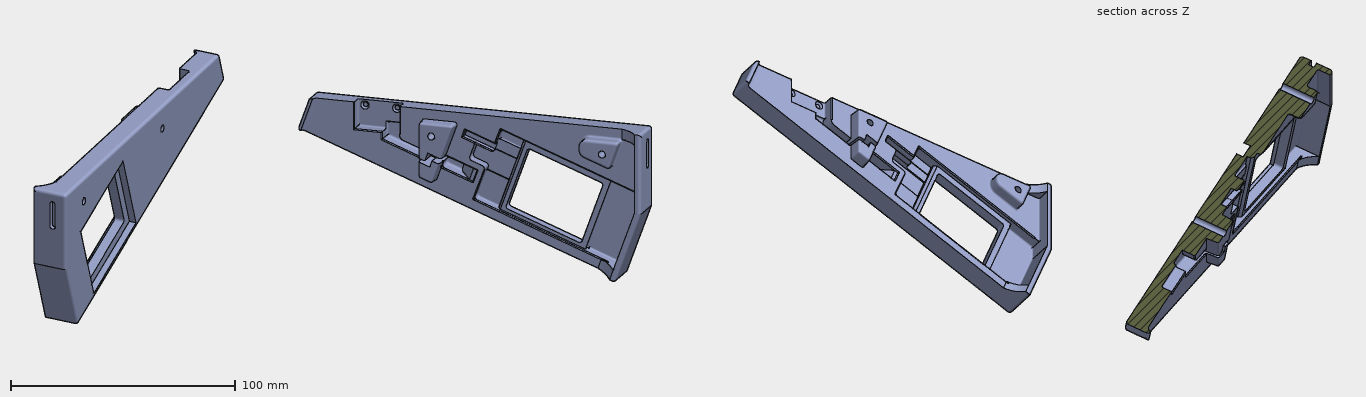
import cadquery as cq
import math

length = 163.0
total_height = 69.5
taper = math.radians(20)
edge_round = 1.5
floor_round = 0.8
rim = 0.5
boss_round = 1.3

plate_top = 10.1
flange_top = 16.5
lip_top = 12.0
boss_top = 16.0
ledge_floor = 8.0
upper_floor = 5.5
deep_floor = 4.9
cable_floor = 3.6
recess_depth = 3.3

front_height = 37.0
flange_width = 2.85
lip_width = 1.6
corner_loss = edge_round * (math.sin(taper) + math.cos(taper) - 1)
sharp_length = length + corner_loss
sharp_height = total_height + corner_loss
low_corner_y = (sharp_height - front_height) * math.tan(taper)
tip_height = sharp_height - (sharp_length - low_corner_y) * math.tan(taper)
tip_top_y = sharp_length - tip_height * math.tan(taper)
lower_edge = (sharp_length - low_corner_y) / math.cos(taper)

level = cq.Plane(origin=(0, 0, 0), xDir=(0, -1, 0), normal=(-1, 0, 0))
tilted = cq.Plane(
    origin=(0, sharp_length, -tip_height),
    xDir=(0, -math.cos(taper), -math.sin(taper)),
    normal=(-1, 0, 0),
)


def prism(frame, points, bottom, top):
    """Straight prism over a polygon, between two heights."""
    return cq.Workplane(frame).workplane(offset=bottom).polyline(points).close().extrude(top - bottom)


def block(frame, x_range, y_range, bottom, top):
    """Prism over a rectangle of the frame."""
    (x0, x1), (y0, y1) = x_range, y_range
    return prism(frame, [(x0, y0), (x1, y0), (x1, y1), (x0, y1)], bottom, top)


def round_corners(solid, radius, corners):
    """Fillet the upright edges that stand on the given level-frame corners."""

    def is_listed(edge):
        center = edge.Center()
        return any(math.hypot(center.y + x, center.z - z) < 0.02 for x, z in corners)

    return solid.newObject([edge for edge in solid.edges("|X").vals() if is_listed(edge)]).fillet(radius)


def rim_chamfer(frame, points):
    """Cutter that breaks the edge where a recess with the given outline opens at the plate surface."""
    sketch = cq.Workplane(frame).workplane(offset=plate_top).polyline(points).close()
    return sketch.offset2D(rim).extrude(-rim, taper=45)


def level_point(along, across):
    """Level-frame coordinates of a point given in the tilted frame."""
    return (
        -sharp_length + along * math.cos(taper) + across * math.sin(taper),
        -tip_height - along * math.sin(taper) + across * math.cos(taper),
    )


def on_row(x, across):
    """Level-frame point at x on the line parallel to the lower edge, `across` above it."""
    return (x, -tip_height - (x + sharp_length) * math.tan(taper) + across / math.cos(taper))


def on_column(along, z):
    """Level-frame point at height z on the line square to the lower edge, `along` from the tip."""
    return level_point(along, (z + tip_height + along * math.sin(taper)) / math.cos(taper))


outline = [
    (0, 0),
    (0, -front_height),
    (-low_corner_y, -sharp_height),
    (-sharp_length, -tip_height),
    (-tip_top_y, 0),
]
flange_inner = -flange_width
inner_kink_y = -front_height + flange_width * math.tan(taper / 2)
slope_run = 1.2 * total_height
inner_side = [
    (flange_inner, total_height),
    (flange_inner, inner_kink_y),
    (flange_inner - slope_run * math.sin(taper), inner_kink_y - slope_run * math.cos(taper)),
]
far_side = [(-1.5 * length, -1.5 * length), (-1.5 * length, total_height)]

body = prism(level, outline, 0, flange_top)
body = body.cut(prism(level, inner_side + far_side, lip_top, flange_top))
body = body.cut(
    prism(level, inner_side + far_side, plate_top, lip_top).intersect(
        block(tilted, (lip_width, 2 * length), (-length, length), plate_top, lip_top)
    )
)


def is_rounded(edge):
    """Rim of the outer face, the outer corners, and the raised rims of the front and the tip."""
    center = edge.Center()
    along = tilted.toLocalCoords(center).x
    on_outer_face = center.x > -0.02
    on_front_rim = center.x < 0.02 - flange_top and (
        center.y < 0.02 or abs(along - lower_edge) < 0.02
    )
    on_tip_rim = along < 0.02
    is_kink = abs(center.y) < 0.02 and abs(center.z + front_height) < 0.02
    is_front_corner = abs(center.x + flange_top / 2) < 0.02 and not is_kink
    return on_outer_face or on_front_rim or on_tip_rim or is_front_corner


body = body.newObject([edge for edge in body.edges().vals() if is_rounded(edge)]).fillet(edge_round)


def is_flange_base(edge):
    """Corner between the plate and the inner wall of the flange."""
    center = edge.Center()
    along = tilted.toLocalCoords(center).x
    on_wall = abs(center.y + flange_inner) < 0.02 or abs(along - lower_edge + flange_width) < 0.02
    return on_wall and abs(center.x + plate_top) < 0.02


body = body.newObject([edge for edge in body.edges().vals() if is_flange_base(edge)]).fillet(floor_round)


def ramp(frame, wall, run, y_range, top, radius):
    """Ramp with a concave arc profile, rising from the plate at wall + run to `top` at the wall."""
    rise = top - plate_top
    solid = block(frame, (wall, wall + run), y_range, plate_top, top)
    chord = math.hypot(run, rise)
    center_distance = math.sqrt(radius**2 - (chord / 2) ** 2)
    center_x = wall + run / 2 + math.copysign(center_distance * rise / chord, run)
    center_height = plate_top + rise / 2 + center_distance * abs(run) / chord
    scoop_plane = cq.Plane(
        origin=frame.toWorldCoords((center_x, y_range[0], center_height)),
        xDir=frame.xDir,
        normal=frame.yDir,
    )
    return solid.cut(cq.Workplane(scoop_plane).circle(radius).extrude(y_range[1] - y_range[0]))


lip_rise = lip_top - plate_top
lip_cove = ramp(tilted, lip_width, lip_rise, (-length, length), lip_top, lip_rise)
body = body.union(lip_cove.intersect(prism(level, outline, plate_top, lip_top)))

flare = 1.0
front_boss_tail = -29.7
front_boss_z = -5.0
front_boss_row = 47.8
front_boss_column = 140.2
tail_corner_round = 3.9
front_corner_round = 1.0
tail_corners = [(front_boss_tail, front_boss_z), on_row(front_boss_tail, front_boss_row)]
front_corners = [
    level_point(front_boss_column, front_boss_row),
    on_column(front_boss_column, front_boss_z),
]
front_boss = prism(level, tail_corners + front_corners, deep_floor, boss_top)
front_boss = round_corners(front_boss, tail_corner_round, tail_corners)
front_boss = round_corners(front_boss, front_corner_round, front_corners)
front_boss = front_boss.faces("<X").edges().fillet(boss_round)
body = body.union(front_boss)


def is_boss_base(edge):
    """Edges where the front boss meets the plate."""
    center = edge.Center()
    inside = 9.8 < center.y < 31 and -19.5 < center.z < -4.9
    return inside and abs(center.x + plate_top) < 0.02


body = body.newObject([edge for edge in body.edges().vals() if is_boss_base(edge)]).fillet(flare)

gusset_run = 8.1
gusset_width = 4.9
gusset_radius = 15.8
slope_inner = lower_edge - flange_width
for frame, wall, y_range in [
    (level, flange_inner, (-gusset_width, 0)),
    (tilted, slope_inner, (0, gusset_width)),
]:
    body = body.union(ramp(frame, wall, -gusset_run, y_range, flange_top, gusset_radius))

boss_draft = 5
rear_boss_tail = -105.3
rear_boss_z = -4.5
rear_boss_row = 4.9
rear_boss_column = 67.1
rear_boss_top_round = 1.0
rear_corners = [
    (rear_boss_tail, rear_boss_z),
    on_row(rear_boss_tail, rear_boss_row),
    level_point(rear_boss_column, rear_boss_row),
    on_column(rear_boss_column, rear_boss_z),
]
rear_boss = (
    cq.Workplane(level)
    .workplane(offset=plate_top)
    .polyline(rear_corners)
    .close()
    .offset2D(-boss_round)
    .offset2D(boss_round)
    .extrude(boss_top - plate_top, taper=boss_draft)
)
body = body.union(rear_boss.faces("<X").edges().fillet(rear_boss_top_round))

pocket_low, pocket_high = 4.9, 40.7
pocket_tail = 86.0
upper_tail = 86.5
bay_tail, bay_low, bay_high = 77.5, 21.2, 29.3
bay_step = 18.5
upper_step = 34.7
upper_round = 0.7
pocket_round = 1.6
ledge_start, ledge_end = 97.3, 142.1
ledge_chamfer = 1.3
window_tail, window_front = 100.5, 138.5
window_low, window_high = 6.5, 37.3
window_round = 1.3
rim_front = 153.2

pocket_outline = [
    (pocket_tail, pocket_low),
    (ledge_end, pocket_low),
    (ledge_end, pocket_high),
    (upper_tail, pocket_high),
    (upper_tail, bay_high),
    (bay_tail, bay_high),
    (bay_tail, bay_low),
    (pocket_tail, bay_low),
]
pocket_corners = [
    level_point(pocket_tail, pocket_low),
    level_point(upper_tail, pocket_high),
    level_point(bay_tail, bay_low),
    level_point(pocket_tail, bay_low),
]


def pocket_prism(floor):
    """Pocket outline with rounded corners, cut down to the given floor."""
    return round_corners(prism(tilted, pocket_outline, floor, flange_top), pocket_round, pocket_corners)


pocket_walls = pocket_prism(deep_floor)
shallow_floor = pocket_prism(upper_floor).faces(">X").edges().fillet(floor_round)
bay_floor = block(tilted, (bay_tail, ledge_end), (bay_step, bay_high), deep_floor, plate_top)
upper_end = block(tilted, (upper_tail, ledge_end + 1.6), (upper_step, pocket_high + 1.6), deep_floor, plate_top)
upper_end = upper_end.faces(">X").edges().fillet(upper_round)
ledge_bed = block(tilted, (ledge_start, ledge_end), (pocket_low, pocket_high), deep_floor, plate_top)
body = body.cut(shallow_floor).cut(ledge_bed)
body = body.cut(bay_floor.intersect(pocket_walls)).cut(upper_end.intersect(pocket_walls))

front_pocket = prism(
    level,
    [
        level_point(ledge_start, pocket_low),
        level_point(slope_inner, pocket_low),
        (flange_inner, inner_kink_y),
        on_row(flange_inner, pocket_high),
        level_point(ledge_start, pocket_high),
    ],
    deep_floor,
    flange_top,
)
body = body.cut(front_pocket.faces(">X").edges().fillet(floor_round))

pocket_rim = [
    (pocket_tail, pocket_low),
    (rim_front, pocket_low),
    (rim_front, pocket_high),
    (upper_tail, pocket_high),
]
body = body.cut(rim_chamfer(tilted, pocket_rim))

ridge_plane = cq.Plane(
    origin=tilted.toWorldCoords((0, pocket_low, 0)), xDir=tilted.xDir, normal=tilted.yDir
)
ledge = (
    cq.Workplane(ridge_plane)
    .moveTo(ledge_start, -deep_floor)
    .lineTo(ledge_start, ledge_chamfer - ledge_floor)
    .lineTo(ledge_start + ledge_chamfer, -ledge_floor)
    .lineTo(ledge_end - floor_round, -ledge_floor)
    .lineTo(ledge_end - floor_round, -deep_floor - floor_round)
    .radiusArc((ledge_end, -deep_floor), floor_round)
    .close()
    .extrude(pocket_high - pocket_low)
)
body = body.union(ledge)

window = block(tilted, (window_tail, window_front), (window_low, window_high), 0, flange_top)
body = body.cut(window.edges("|X").fillet(window_round))

recess_margin = 4.0
recess = block(
    tilted,
    (window_tail - recess_margin, window_front + recess_margin),
    (window_low - recess_margin, window_high + recess_margin),
    0,
    recess_depth,
)
body = body.cut(recess)

slot_floor = 6.8
rear_slot_tail = 71.4
rear_slot_low = 29.8
rear_slot_high = 33.2
rear_slot_front = upper_tail - rim
body = body.cut(
    block(tilted, (rear_slot_tail, upper_tail), (rear_slot_low, rear_slot_high), slot_floor, plate_top)
)
rear_slot_rim = [
    (rear_slot_tail, rear_slot_low),
    (rear_slot_front, rear_slot_low),
    (rear_slot_front, rear_slot_high),
    (rear_slot_tail, rear_slot_high),
]
body = body.cut(rim_chamfer(tilted, rear_slot_rim))

notch_tail, notch_front = -137.2, -115.9
notch_low = -12.5
channel_tail = -124.0
channel_top = -9.1
channel_low, channel_high = 12.2, 16.0
channel_round = 1.1
bend_round = 2.5
notch_outline = [(notch_tail, notch_low), (notch_front, notch_low), (notch_front, 1.6), (notch_tail, 1.6)]
notch = prism(level, notch_outline, deep_floor, flange_top)
notch = notch.faces(">X").edges("not(>Z)").fillet(floor_round)
body = body.cut(notch).cut(rim_chamfer(level, notch_outline))

channel_bend = on_row(notch_front, channel_high)
channel_outline = [
    (channel_tail, channel_top),
    on_row(channel_tail, channel_low),
    on_row(rear_boss_tail, channel_low),
    on_row(rear_boss_tail, channel_high),
    channel_bend,
    (notch_front, channel_top),
]
channel = prism(level, channel_outline, cable_floor, flange_top)
rounded_sides = [
    (channel_outline[0], channel_outline[1]),
    (channel_outline[1], channel_outline[2]),
    (channel_outline[5], channel_outline[0]),
]


def is_rounded_channel_edge(edge):
    """Floor edges of the channel along its tail, its low side and the step up to the notch."""
    center = edge.Center()
    return any(
        math.hypot(center.y + (x0 + x1) / 2, center.z - (z0 + z1) / 2) < 0.02
        for (x0, z0), (x1, z1) in rounded_sides
    )


floor_edges = channel.faces(">X").edges().vals()
channel = channel.newObject([edge for edge in floor_edges if is_rounded_channel_edge(edge)])
channel = round_corners(channel.fillet(channel_round), bend_round, [channel_bend])
body = body.cut(channel)

channel_mouth = rear_boss_tail - rim
channel_rim = [
    (channel_tail, channel_top),
    on_row(channel_tail, channel_low),
    on_row(channel_mouth, channel_low),
    on_row(channel_mouth, channel_low + 1.6),
    on_row(notch_front - rim, channel_low + 1.6),
    (notch_front - rim, channel_top),
]
body = body.cut(rim_chamfer(level, channel_rim))

gap_tail, gap_front = 60.3, 63.4
gap_high = 18.0
lead_in_high = 14.0
lead_in_mouth = 13.5
crossing_low = 15.3
slot_front = 82.8
climb_start = 75.0
slot_round = 1.6
lead_in = prism(
    level,
    [
        on_row(rear_boss_tail, channel_low),
        level_point(gap_front, channel_low),
        level_point(gap_front, lead_in_high),
        level_point(gap_tail, lead_in_high),
        on_row(rear_boss_tail, lead_in_mouth),
    ],
    cable_floor,
    flange_top,
)
riser = block(tilted, (gap_tail, gap_front), (channel_low, gap_high), cable_floor, flange_top)
crossing = block(tilted, (gap_tail, climb_start), (crossing_low, gap_high), cable_floor, flange_top)
slot = block(tilted, (rear_boss_column, slot_front), (channel_low, gap_high), cable_floor, flange_top)
slot = slot.edges("|X").fillet(slot_round)
slot = slot.faces(">X").edges().fillet(channel_round)
slot_rim = [
    (rear_boss_column, channel_low),
    (slot_front, channel_low),
    (slot_front, gap_high),
    (rear_boss_column, gap_high),
]
slot = slot.union(crossing)
climb_plane = cq.Plane(
    origin=tilted.toWorldCoords((climb_start, channel_low, 0)), xDir=tilted.xDir, normal=tilted.yDir
)
climb_run = slot_front - climb_start
climb = (
    cq.Workplane(climb_plane)
    .polyline([(0, -cable_floor), (climb_run, -cable_floor), (climb_run, -cable_floor - climb_run)])
    .close()
    .extrude(gap_high - channel_low)
)
slot = slot.cut(climb)
body = body.cut(lead_in).cut(riser).cut(slot).cut(rim_chamfer(tilted, slot_rim))

screw_hole = 3.3
for position in [(-99.0, -10.6), (-18.4, -11.0)]:
    body = body.cut(cq.Workplane(level).center(*position).circle(screw_hole / 2).extrude(flange_top))

countersink = 3.9
pilot = 2.1
for position in [(-134.0, -2.6), (-119.0, -2.6)]:
    cone = (
        cq.Workplane(level)
        .workplane(offset=deep_floor)
        .center(*position)
        .circle(countersink / 2)
        .extrude(-(countersink - pilot) / 2, taper=45)
    )
    body = body.cut(cone)

front_slot_x, front_slot_z = -6.7, -11.2
front_slot_length = 13.5
front_slot_width = 2.6
front_slot_depth = 2.5
front_slot = (
    cq.Workplane("XZ")
    .center(front_slot_x, front_slot_z)
    .slot2D(front_slot_length, front_slot_width, 90)
    .extrude(-front_slot_depth)
)
body = body.cut(front_slot)

result = body